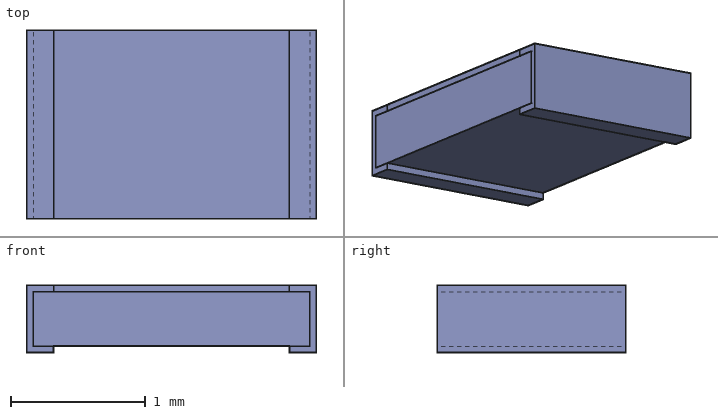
import cadquery as cq

length = 2.15
width = 1.4
height = 0.5

plating = 0.05
terminal_length = 0.2

core_length = length - 2 * plating
core_height = height - 2 * plating
coating_length = length - 2 * terminal_length


def block(size_x, size_z, bottom):
    """Full-width block centred on X and Y, standing on the given height."""
    return (
        cq.Workplane("XY")
        .workplane(offset=bottom)
        .box(size_x, width, size_z, centered=(True, True, False))
    )


def make_core():
    """Ceramic core held between the terminals."""
    return block(core_length, core_height, plating)


def make_coating():
    """Protective layer on the core, flush with the terminal tops."""
    return block(coating_length, plating, height - plating)


def make_terminal(side):
    """C-shaped end terminal; side is -1 for the -X end and +1 for the +X end."""
    end = block(terminal_length, height, 0).translate(
        (side * (length - terminal_length) / 2, 0, 0)
    )
    return end.cut(make_core())


core = make_core()
coating = make_coating()
terminals = [make_terminal(side) for side in (-1, 1)]

result = cq.Compound.makeCompound(
    [core.val(), coating.val(), *[terminal.val() for terminal in terminals]]
)